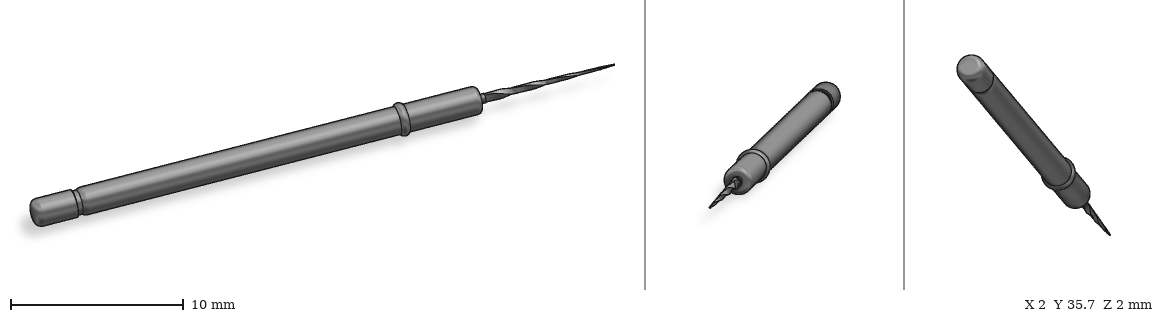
import cadquery as cq
import math

total_length = 35.7
handle_length = 27.4
handle_radius = 0.84

butt_round = 0.43
nose_round = 0.32

groove_start = 2.55
groove_floor_length = 0.32
groove_depth = 0.1
shoulder_length = 0.32
shoulder_radius = (shoulder_length**2 + groove_depth**2) / (2 * groove_depth)

bead_center = 22.65
bead_radius = 1.0
bead_half_width = 0.268

shank_radius = 0.3
shank_length = 0.32
shank_embed = 0.35
blade_root_radius = 0.305
blade_tip_radius = 0.055
pinch_narrowing = 0.4
pinch_widening = 0.4
blade_twist = -345.0
blade_start_angle = 74.0
sections_per_turn = 24


def arc_middle(center_y, center_radius, arc_radius, y_sign):
    """Middle point of a quarter round facing away from the axis."""
    offset = arc_radius * math.sqrt(0.5)
    return (center_radius + offset, center_y + y_sign * offset)


def make_handle():
    groove_floor_radius = handle_radius - groove_depth
    shoulder_start = groove_start + groove_floor_length
    butt_middle = arc_middle(butt_round, handle_radius - butt_round, butt_round, -1)
    nose_middle = arc_middle(handle_length - nose_round, handle_radius - nose_round, nose_round, 1)
    profile = (
        cq.Workplane("XY")
        .lineTo(handle_radius - butt_round, 0)
        .threePointArc(butt_middle, (handle_radius, butt_round))
        .lineTo(handle_radius, groove_start)
        .lineTo(groove_floor_radius, groove_start)
        .lineTo(groove_floor_radius, shoulder_start)
        .radiusArc((handle_radius, shoulder_start + shoulder_length), -shoulder_radius)
        .lineTo(handle_radius, bead_center - bead_half_width)
        .threePointArc((bead_radius, bead_center), (handle_radius, bead_center + bead_half_width))
        .lineTo(handle_radius, handle_length - nose_round)
        .threePointArc(nose_middle, (handle_radius - nose_round, handle_length))
        .lineTo(0, handle_length)
        .close()
    )
    return profile.revolve(360, (0, 0, 0), (0, 1, 0))


def cylinder_along_y(radius, start, length):
    return cq.Workplane(cq.Solid.makeCylinder(radius, length, cq.Vector(0, start, 0), cq.Vector(0, 1, 0)))


def blade_section(y, radius, angle):
    """Square section turned about the Y axis, pinched in X wherever its sides face X and Z."""
    pinch = (1 - math.cos(math.radians(4 * angle))) / 2
    x_reach = radius * (1 - pinch_narrowing * pinch)
    z_reach = radius * (1 + pinch_widening * pinch)
    points = []
    for corner in range(4):
        direction = math.radians(angle + 90 * corner)
        points.append(cq.Vector(x_reach * math.cos(direction), y, z_reach * math.sin(direction)))
    return cq.Wire.makePolygon(points, close=True)


def make_blade():
    start = handle_length + shank_length
    count = math.ceil(abs(blade_twist) / 360 * sections_per_turn)
    sections = []
    for index in range(count + 1):
        part = index / count
        y = start + part * (total_length - start)
        radius = blade_root_radius + part * (blade_tip_radius - blade_root_radius)
        sections.append(blade_section(y, radius, blade_start_angle + part * blade_twist))
    return cq.Workplane(cq.Solid.makeLoft(sections, False))


shank = cylinder_along_y(shank_radius, handle_length - shank_embed, shank_length + shank_embed)
result = make_handle().union(shank).union(make_blade())